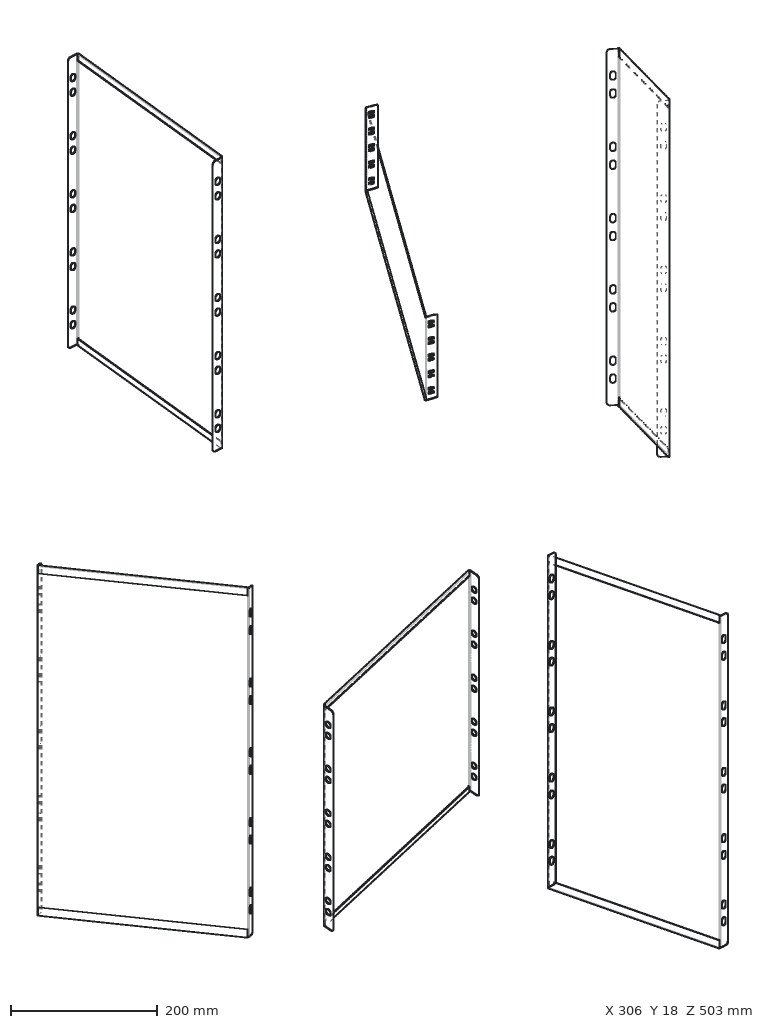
import cadquery as cq

width = 306.0
depth = 18.0
height = 503.0

sheet = 1.25
bend_inner_radius = 1.0
bend_outer_radius = bend_inner_radius + sheet

hem_length = 12.0
hem_thickness = 2 * sheet
hem_side_gap = 2.0

flange_end_setback = sheet
flange_height = height - 2 * flange_end_setback
flange_corner_radius = 5.0

slot_length = 12.0
slot_width = 8.0
pair_count = 5
pair_pitch = 100.0
slot_spacing = 25.0

back_y = depth / 2


def channel():
    """Panel and both side flanges as one bent sheet, with rounded bends and flange corners."""
    outer = (
        cq.Workplane("XY")
        .box(width, depth, flange_height)
        .edges("|Z and >Y")
        .fillet(bend_outer_radius)
    )
    cavity = (
        cq.Workplane("XY")
        .box(width - 2 * sheet, depth, flange_height)
        .edges("|Z and >Y")
        .fillet(bend_inner_radius)
        .translate((0, -sheet, 0))
    )
    return outer.cut(cavity).edges("|X and <Y").fillet(flange_corner_radius)


def hem(end):
    """Folded strip at the top (end = 1) or bottom (end = -1) with a half-round fold."""
    fold_start_z = end * (height / 2 - sheet)
    hem_edge_z = end * (height / 2 - hem_length)
    hem_front_y = back_y - hem_thickness
    hem_width = width - 2 * hem_side_gap
    return (
        cq.Workplane("YZ", origin=(-hem_width / 2, 0, 0))
        .moveTo(back_y, hem_edge_z)
        .lineTo(back_y, fold_start_z)
        .threePointArc((back_y - sheet, end * height / 2), (hem_front_y, fold_start_z))
        .lineTo(hem_front_y, hem_edge_z)
        .close()
        .extrude(hem_width)
    )


def slots():
    """Cutters for every slot, long along Z, passing through both flanges."""
    first_pair_z = -pair_pitch * (pair_count - 1) / 2
    centers = []
    for pair in range(pair_count):
        pair_z = first_pair_z + pair * pair_pitch
        for side in (-1, 1):
            centers.append((0, pair_z + side * slot_spacing / 2))
    return (
        cq.Workplane("YZ")
        .pushPoints(centers)
        .slot2D(slot_length, slot_width, 90)
        .extrude(width, both=True)
    )


result = channel().union(hem(1)).union(hem(-1)).cut(slots())